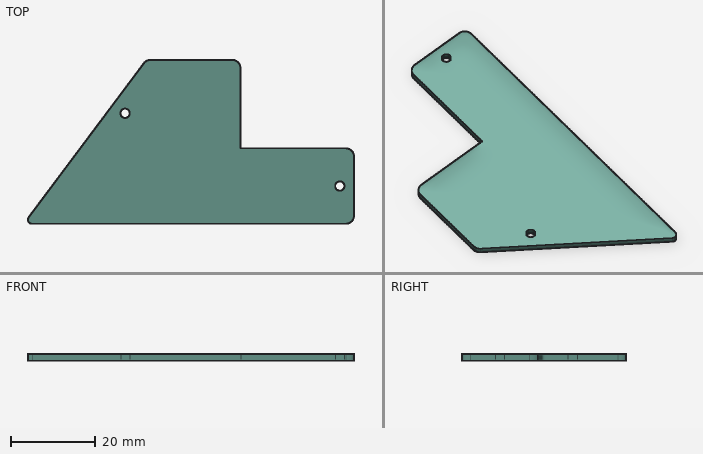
import cadquery as cq
import math

length = 77.6
width = 39.05
thickness = 1.6

arm_width = 18.0
step_x = 50.6
slope_angle = 53.2
corner_radius = 2.0
tip_radius = 1.0

hole_diameter = 2.2
hole_centers = [(23.1, 26.3), (74.2, 9.0)]

tip_setback = tip_radius / math.tan(math.radians(slope_angle / 2))
tip_x = tip_radius - tip_setback
slope_top_x = tip_x + width / math.tan(math.radians(slope_angle))

tip = (tip_x, 0)
step_corner = (step_x, arm_width)
rounded_corners = [
    (length, 0),
    (length, arm_width),
    (step_x, width),
    (slope_top_x, width),
]
outline = [tip, *rounded_corners[:2], step_corner, *rounded_corners[2:]]


def round_corner(plate, corner, radius):
    """Fillet the upright edge standing at the given sharp corner."""
    edge = cq.selectors.NearestToPointSelector((*corner, thickness / 2))
    return plate.edges("|Z").edges(edge).fillet(radius)


plate = cq.Workplane("XY").polyline(outline).close().extrude(thickness)
plate = round_corner(plate, tip, tip_radius)
for corner in rounded_corners:
    plate = round_corner(plate, corner, corner_radius)

result = plate.faces(">Z").workplane(origin=(0, 0, thickness)).pushPoints(hole_centers).hole(hole_diameter)